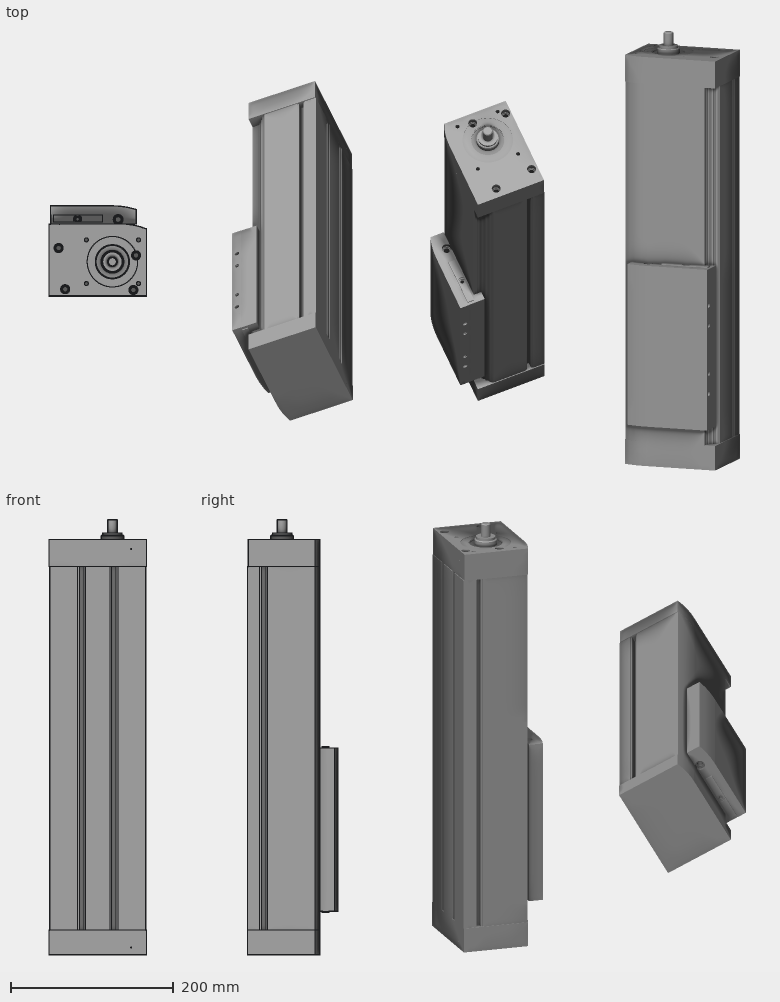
import cadquery as cq
import math


CAP_WIDTH = 120.0
CAP_DEPTH = 89.0
LOWER_CAP_HEIGHT = 30.5
PROFILE_LENGTH = 446.0
UPPER_CAP_HEIGHT = 33.5
UPPER_CAP_SETBACK = 1.0
TOTAL_DEPTH = 111.5

UPPER_CAP_BOTTOM = LOWER_CAP_HEIGHT + PROFILE_LENGTH
UPPER_CAP_TOP = UPPER_CAP_BOTTOM + UPPER_CAP_HEIGHT

CORNER_RUN = 30.0
CORNER_DROP = 6.0

VENT_DIAMETER = 1.1
VENT_DEPTH = 5.0
VENT_X = 101.0
LOWER_VENT_Z = 9.0
UPPER_VENT_DROP = 12.0

SHAFT_X = 78.0
SHAFT_Y = 42.7
PILOT_DIAMETER = 62.0
PILOT_DEPTH = 0.5
BEARING_DIAMETER = 40.0
BEARING_RIM = 1.0
BEARING_RIM_DEPTH = 1.0
BEARING_DEPTH = 2.0
MOTOR_HOLE_DIAMETER = 4.92
MOTOR_HOLE_DEPTH = 12.0
MOTOR_PITCH_X = 64.0
MOTOR_PITCH_Y = 53.6
CAP_SCREWS = [(12.0, 59.5), (107.0, 50.5), (20.0, 9.0), (103.7, 8.0)]
CAP_SCREW_DIAMETER = 6.65
CAP_SCREW_HEAD_DIAMETER = 11.0
CAP_SCREW_HEAD_DEPTH = 7.0
CAP_SCREW_SEAT_DIAMETER = 9.0
CAP_SCREW_SEAT_DEPTH = 8.0

COLLAR_DIAMETER = 28.0
COLLAR_HEIGHT = 5.0
COLLAR_CHAMFER = 1.0
SHOULDER_DIAMETER = 24.0
SHOULDER_HEIGHT = 3.0
SHAFT_DIAMETER = 12.0
SHAFT_REACH = 24.5
SHAFT_CHAMFER = 1.0

PROFILE_INSET = 1.0
SLOT_MOUTH = 9.6
SLOT_MOUTH_DEPTH = 1.0
SLOT_WIDTH = 5.6
SLOT_DEPTH = 8.0
SLOT_SPACING = 39.5
SIDE_SLOT_Y = 20.0

FLANK_START_Y = 68.0
FLANK_STEPS = 3
FLANK_TAPER_RISE = 2.9
FLANK_TAPER_ANGLE = 38.0
FLANK_WALL = 0.75
FLANK_LEDGE = 1.85
SEAL_GROOVES = 2
SEAL_GROOVE_START_Y = 83.0
SEAL_GROOVE_WIDTH = 1.3
SEAL_GROOVE_PITCH = 2.6
SEAL_GROOVE_DEPTH = 0.5

FLANK_TAPER_RUN = FLANK_TAPER_RISE * math.tan(math.radians(FLANK_TAPER_ANGLE))
FLANK_PITCH_X = FLANK_TAPER_RUN + FLANK_LEDGE
FLANK_PITCH_Y = FLANK_TAPER_RISE + FLANK_WALL
FLANK_TOP_Y = FLANK_START_Y + FLANK_STEPS * FLANK_PITCH_Y
CROWN_X = PROFILE_INSET + FLANK_STEPS * FLANK_PITCH_X

CARRIAGE_LEFT = 2.0
CARRIAGE_WIDTH = 105.5
CARRIAGE_LENGTH = 200.5
CARRIAGE_BOTTOM = 53.5
CARRIAGE_CORNER_RUN = 30.0
CARRIAGE_CORNER_DROP = 4.7
ARM_REACH = 32.4
ARM_CLEARANCE = 0.5
TOP_PLATE_THICKNESS = 11.3
SIDE_STEP = 0.2
SIDE_HOLE_DROP = 6.3
DOWEL_OFFSET = 55.0
DOWEL_DIAMETER = 6.0
DOWEL_DEPTH = 10.0
SIDE_SCREW_OFFSET = 30.0
SIDE_SCREW_DIAMETER = 4.2
SIDE_SCREW_MOUTH_DIAMETER = 6.0
SIDE_SCREW_MOUTH_DEPTH = 1.0
SIDE_SCREW_DEPTH = 12.0
WIPER_LEFT = 5.5
WIPER_WIDTH = 60.5
WIPER_HEIGHT = 8.5
WIPER_THICKNESS = 1.5

WIPER_HOLE_CENTER = (35.2, 95.0)
WIPER_HOLE_STEPS = [(4.5, 20.0), (7.0, 2.0), (10.0, 1.0)]
END_HOLE_CENTER = (85.0, 94.5)
END_HOLE_STEPS = [(7.0, 20.0), (9.6, 6.0), (12.0, 5.0)]


def corner_middle(right, back, run, drop):
    """Point halfway along an arc that leaves the back face tangentially and ends at the right side."""
    radius = (run**2 + drop**2) / (2 * drop)
    half_angle = math.asin(run / radius) / 2
    return (
        right - run + radius * math.sin(half_angle),
        back - radius * (1 - math.cos(half_angle)),
    )


def cylinder(diameter, height, x, y, z):
    """Upright cylinder standing on the point (x, y, z)."""
    return cq.Workplane("XY", origin=(x, y, z)).circle(diameter / 2).extrude(height)


def cylinder_inward(diameter, depth, x, y, z):
    """Cylinder that runs toward +X from the point (x, y, z)."""
    return cq.Workplane("YZ", origin=(x, y, z)).circle(diameter / 2).extrude(depth)


def cap_blank(bottom, height, front):
    middle = corner_middle(CAP_WIDTH, CAP_DEPTH, CORNER_RUN, CORNER_DROP)
    return (
        cq.Workplane("XY", origin=(0, 0, bottom))
        .moveTo(0, front)
        .lineTo(CAP_WIDTH, front)
        .lineTo(CAP_WIDTH, CAP_DEPTH - CORNER_DROP)
        .threePointArc(middle, (CAP_WIDTH - CORNER_RUN, CAP_DEPTH))
        .lineTo(0, CAP_DEPTH)
        .close()
        .extrude(height)
    )


def vent(front, z):
    """Cutter for a vent hole that starts on the front face of a cap."""
    return (
        cq.Workplane("XZ", origin=(VENT_X, front, z))
        .circle(VENT_DIAMETER / 2)
        .extrude(-VENT_DEPTH)
    )


def make_lower_cap():
    return cap_blank(0, LOWER_CAP_HEIGHT, 0).cut(vent(0, LOWER_VENT_Z))


def make_upper_cap():
    cap = cap_blank(UPPER_CAP_BOTTOM, UPPER_CAP_HEIGHT, UPPER_CAP_SETBACK)
    cap = cap.cut(vent(UPPER_CAP_SETBACK, UPPER_CAP_TOP - UPPER_VENT_DROP))

    recesses = [
        (PILOT_DIAMETER, PILOT_DEPTH),
        (BEARING_DIAMETER + 2 * BEARING_RIM, BEARING_RIM_DEPTH),
        (BEARING_DIAMETER, BEARING_DEPTH),
    ]
    for diameter, depth in recesses:
        cap = cap.cut(cylinder(diameter, depth, SHAFT_X, SHAFT_Y, UPPER_CAP_TOP - depth))

    for side_x in (-1, 1):
        for side_y in (-1, 1):
            x = SHAFT_X + side_x * MOTOR_PITCH_X / 2
            y = SHAFT_Y + side_y * MOTOR_PITCH_Y / 2
            bottom = UPPER_CAP_TOP - MOTOR_HOLE_DEPTH
            cap = cap.cut(cylinder(MOTOR_HOLE_DIAMETER, MOTOR_HOLE_DEPTH, x, y, bottom))

    screw_steps = [
        (CAP_SCREW_DIAMETER, UPPER_CAP_HEIGHT),
        (CAP_SCREW_SEAT_DIAMETER, CAP_SCREW_SEAT_DEPTH),
        (CAP_SCREW_HEAD_DIAMETER, CAP_SCREW_HEAD_DEPTH),
    ]
    for x, y in CAP_SCREWS:
        for diameter, depth in screw_steps:
            cap = cap.cut(cylinder(diameter, depth, x, y, UPPER_CAP_TOP - depth))
    return cap


def make_shaft():
    seat = UPPER_CAP_TOP - BEARING_DEPTH
    shoulder_bottom = UPPER_CAP_TOP + COLLAR_HEIGHT
    shaft_bottom = shoulder_bottom + SHOULDER_HEIGHT
    journal_length = SHAFT_REACH - COLLAR_HEIGHT - SHOULDER_HEIGHT
    collar = cylinder(COLLAR_DIAMETER, shoulder_bottom - seat, SHAFT_X, SHAFT_Y, seat)
    collar = collar.faces(">Z").edges().chamfer(COLLAR_CHAMFER)
    shoulder = cylinder(SHOULDER_DIAMETER, SHOULDER_HEIGHT, SHAFT_X, SHAFT_Y, shoulder_bottom)
    journal = cylinder(SHAFT_DIAMETER, journal_length, SHAFT_X, SHAFT_Y, shaft_bottom)
    journal = journal.faces(">Z").edges().chamfer(SHAFT_CHAMFER)
    return collar.union(shoulder).union(journal)


def slot_cutter():
    """Cutter for a profile groove: a wide shallow mouth with a narrower slot behind it."""
    mouth = cq.Workplane("XY").rect(SLOT_MOUTH, 2 * SLOT_MOUTH_DEPTH).extrude(PROFILE_LENGTH)
    slot = cq.Workplane("XY").rect(SLOT_WIDTH, 2 * SLOT_DEPTH).extrude(PROFILE_LENGTH)
    return mouth.union(slot)


def make_profile():
    left = PROFILE_INSET
    right = CAP_WIDTH - PROFILE_INSET
    middle = corner_middle(right, CAP_DEPTH, CORNER_RUN, CORNER_DROP)
    outline = (
        cq.Workplane("XY", origin=(0, 0, LOWER_CAP_HEIGHT))
        .moveTo(left, 0)
        .lineTo(right, 0)
        .lineTo(right, CAP_DEPTH - CORNER_DROP)
        .threePointArc(middle, (right - CORNER_RUN, CAP_DEPTH))
    )

    outline = outline.lineTo(CROWN_X, CAP_DEPTH).lineTo(CROWN_X, FLANK_TOP_Y)
    for step in reversed(range(FLANK_STEPS)):
        x = left + step * FLANK_PITCH_X
        y = FLANK_START_Y + step * FLANK_PITCH_Y
        outline = (
            outline.lineTo(x + FLANK_TAPER_RUN, y + FLANK_PITCH_Y)
            .lineTo(x + FLANK_TAPER_RUN, y + FLANK_TAPER_RISE)
            .lineTo(x, y)
        )
    profile = outline.close().extrude(PROFILE_LENGTH)

    seal_groove = cq.Workplane("XY").box(
        SEAL_GROOVE_DEPTH, SEAL_GROOVE_WIDTH, PROFILE_LENGTH, centered=False
    )
    for number in range(SEAL_GROOVES):
        y = SEAL_GROOVE_START_Y + number * SEAL_GROOVE_PITCH
        profile = profile.cut(seal_groove.translate((CROWN_X, y, LOWER_CAP_HEIGHT)))

    for side in (-1, 1):
        x = CAP_WIDTH / 2 + side * SLOT_SPACING / 2
        profile = profile.cut(slot_cutter().translate((x, 0, LOWER_CAP_HEIGHT)))
    side_slot = slot_cutter().rotate((0, 0, 0), (0, 0, 1), 90)
    for x in (left, right):
        profile = profile.cut(side_slot.translate((x, SIDE_SLOT_Y, LOWER_CAP_HEIGHT)))
    return profile


def make_carriage():
    left = CARRIAGE_LEFT
    right = left + CARRIAGE_WIDTH
    top = CARRIAGE_BOTTOM + CARRIAGE_LENGTH
    center_z = CARRIAGE_BOTTOM + CARRIAGE_LENGTH / 2
    step_y = TOTAL_DEPTH - TOP_PLATE_THICKNESS
    arm_right = CROWN_X - ARM_CLEARANCE
    arm_y = TOTAL_DEPTH - ARM_REACH
    middle = corner_middle(right, TOTAL_DEPTH, CARRIAGE_CORNER_RUN, CARRIAGE_CORNER_DROP)
    carriage = (
        cq.Workplane("XY", origin=(0, 0, CARRIAGE_BOTTOM))
        .moveTo(left + SIDE_STEP, arm_y)
        .lineTo(arm_right, arm_y)
        .lineTo(arm_right, CAP_DEPTH)
        .lineTo(right, CAP_DEPTH)
        .lineTo(right, TOTAL_DEPTH - CARRIAGE_CORNER_DROP)
        .threePointArc(middle, (right - CARRIAGE_CORNER_RUN, TOTAL_DEPTH))
        .lineTo(left, TOTAL_DEPTH)
        .lineTo(left, step_y)
        .lineTo(left + SIDE_STEP, step_y)
        .close()
        .extrude(CARRIAGE_LENGTH)
    )

    wiper_length = CARRIAGE_LENGTH + 2 * WIPER_THICKNESS
    wiper = cq.Workplane("XY").box(WIPER_WIDTH, WIPER_HEIGHT, wiper_length, centered=False)
    wiper_bottom = CARRIAGE_BOTTOM - WIPER_THICKNESS
    carriage = carriage.union(wiper.translate((WIPER_LEFT, step_y - WIPER_HEIGHT, wiper_bottom)))

    end_holes = [
        (WIPER_HOLE_CENTER, WIPER_HOLE_STEPS, WIPER_THICKNESS),
        (END_HOLE_CENTER, END_HOLE_STEPS, 0),
    ]
    for (x, y), steps, overhang in end_holes:
        for diameter, depth in steps:
            carriage = carriage.cut(cylinder(diameter, depth, x, y, top + overhang - depth))
            carriage = carriage.cut(cylinder(diameter, depth, x, y, CARRIAGE_BOTTOM - overhang))

    hole_y = TOTAL_DEPTH - SIDE_HOLE_DROP
    side_holes = [
        (DOWEL_OFFSET, DOWEL_DIAMETER, DOWEL_DEPTH),
        (SIDE_SCREW_OFFSET, SIDE_SCREW_DIAMETER, SIDE_SCREW_DEPTH),
        (SIDE_SCREW_OFFSET, SIDE_SCREW_MOUTH_DIAMETER, SIDE_SCREW_MOUTH_DEPTH),
    ]
    for offset, diameter, depth in side_holes:
        for side in (-1, 1):
            carriage = carriage.cut(cylinder_inward(diameter, depth, left, hole_y, center_z + side * offset))
    return carriage


lower_cap = make_lower_cap()
upper_cap = make_upper_cap()
shaft = make_shaft()
profile = make_profile()
carriage = make_carriage()

result = cq.Compound.makeCompound(
    [lower_cap.val(), upper_cap.val(), shaft.val(), profile.val(), carriage.val()]
)